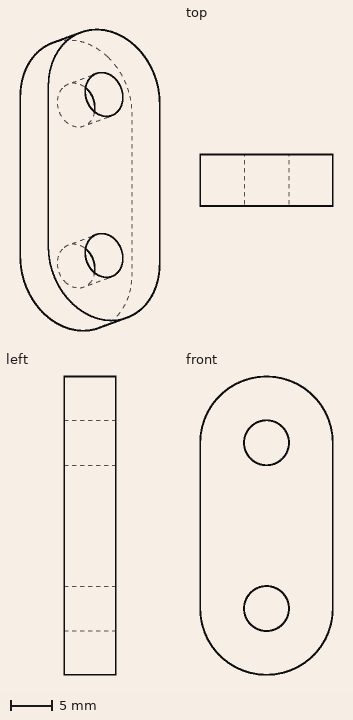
import cadquery as cq

link_width = 16.03
link_thickness = 6.25
hole_spacing = 20.0
hole_diameter = 5.4

link_length = hole_spacing + link_width
hole_centres = [(0, -hole_spacing / 2), (0, hole_spacing / 2)]


def link_body():
    """Flat link with full-round ends, standing upright and centred on the origin."""
    return (
        cq.Workplane("XZ")
        .slot2D(link_length, link_width, angle=90)
        .extrude(link_thickness / 2, both=True)
    )


def pin_holes():
    """Cylinders that cut both holes through the full thickness."""
    return (
        cq.Workplane("XZ")
        .pushPoints(hole_centres)
        .circle(hole_diameter / 2)
        .extrude(link_thickness / 2, both=True)
    )


result = link_body().cut(pin_holes())